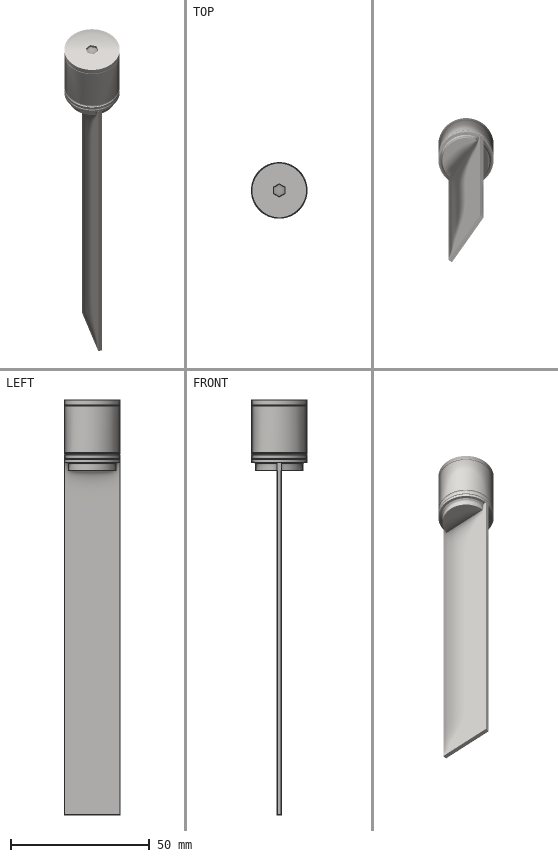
import cadquery as cq

import math

outer_radius = 10.0
barrel_height = 19.0
cap_groove_top = 1.6
cap_groove_step = 1.9
cap_groove_bottom = 2.2
cap_groove_depth = 0.15
socket_across_flats = 4.0
socket_depth = 1.0

ridge_root_radius = 9.79
ridge_crest = 19.4
ridge_bottom = 19.83
ridge_bottom_radius = 9.65
band_groove_top = 20.55
band_groove_step = 21.05
band_groove_bottom = 21.45
band_groove_depth = 0.35
band_bottom = 22.5
foot_radius = 8.5
foot_chamfer = 0.5
foot_bottom = 25.5

groove_taper = math.radians(6)

blade_thickness = 1.5
blade_width = 2 * outer_radius
total_height = 149.5


def turn(outline):
    """Turn an outline of (radius, depth below the top face) points about the Z axis."""
    points = [(radius, -depth) for radius, depth in outline]
    return cq.Workplane("XZ").polyline(points).close().revolve(360, (0, 0, 0), (0, 1, 0))


def groove(top, step, bottom, depth):
    """Outline points of a groove: a slight taper, a square step inwards, then a flank back out."""
    tapered_radius = outer_radius - (step - top) * math.tan(groove_taper)
    return [
        (outer_radius, top),
        (tapered_radius, step),
        (outer_radius - depth, step),
        (outer_radius, bottom),
    ]


def make_head():
    head = turn([
        (0, 0),
        (outer_radius, 0),
        *groove(cap_groove_top, cap_groove_step, cap_groove_bottom, cap_groove_depth),
        (outer_radius, barrel_height),
        (0, barrel_height),
    ])
    socket = (
        cq.Workplane("XY")
        .polygon(6, socket_across_flats, circumscribed=True)
        .extrude(-socket_depth)
    )
    return head.cut(socket)


def make_base(blade):
    base = turn([
        (0, barrel_height),
        (ridge_root_radius, barrel_height),
        (outer_radius, ridge_crest),
        (ridge_bottom_radius, ridge_bottom),
        (outer_radius, ridge_bottom),
        *groove(band_groove_top, band_groove_step, band_groove_bottom, band_groove_depth),
        (outer_radius, band_bottom),
        (foot_radius + foot_chamfer, band_bottom),
        (foot_radius, band_bottom + foot_chamfer),
        (foot_radius, foot_bottom),
        (0, foot_bottom),
    ])
    return base.cut(blade)


def make_blade():
    return (
        cq.Workplane("XY", origin=(0, 0, -band_bottom))
        .rect(blade_thickness, blade_width)
        .extrude(band_bottom - total_height)
    )


head = make_head()
blade = make_blade()
base = make_base(blade)
result = cq.Compound.makeCompound([head.val(), base.val(), blade.val()])